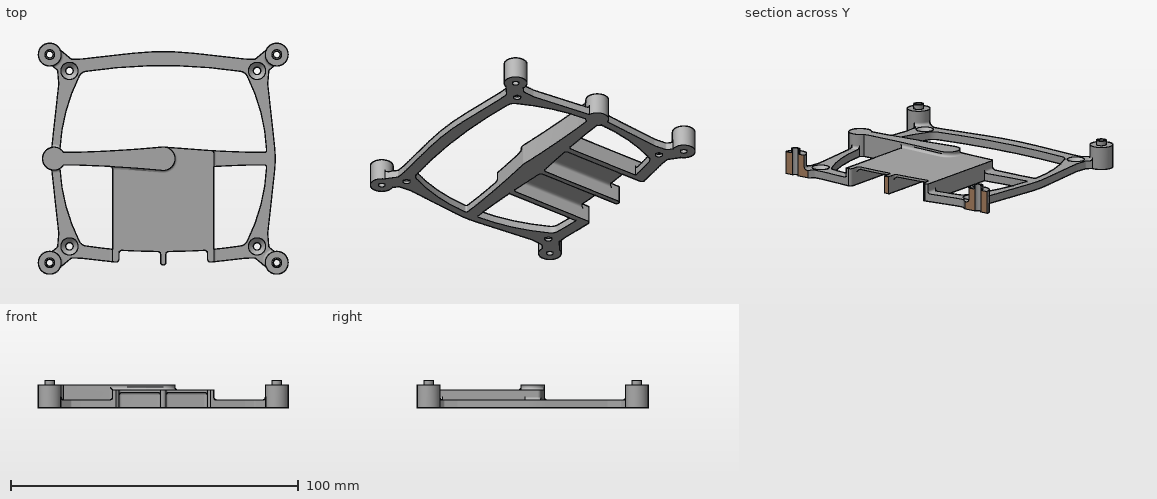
import cadquery as cq

FRAME_T = 2.8
COVER_TOP = 6.25
BOSS_TOP = 8.0
PIN_H = 1.6
RAMP_R = 1.0

BOSS_X = 39.45
BOSS_Y = 36.175
BOSS_R = 4.0
PIN_R = 1.7
PIN_BORE_R = 1.15
SIDE_BOSS_X = -38.0

SCREW_X = 32.6
SCREW_Y = 30.5
SCREW_R = 1.25
SINK_R = 3.0

RIM_PEAK_X = 39.2
RIM_PEAK_Y = 37.85
RIM_BEND_R_X = 40.0
RIM_BEND_R_Y = 95.0
SIDE_WAIST = (36.35, 26.0)
SIDE_CORNER = (36.75, 30.7)
SIDE_NECK = (38.5, 32.2)
TOP_NECK = (35.6, 37.6)
TOP_CORNER = (31.9, 34.55)
TOP_WAIST = (28.5, 34.65)
NECK_FILLET = 0.8

OPENING_X = 35.95
OPENING_Y = 32.3
OPENING_SIDE_R = 64.0
OPENING_END_R = 182.0
OPENING_CORNER_R = 3.0

BAR_HUB_R = 4.1
BAR_WAIST = (30.0, 2.25)
BAR_MIDDLE = (15.0, 2.92)
BAR_END_X = 37.0
BAR_ROOT_FILLET = 0.6

COVER_X = 17.6
POCKET_X = 15.35
RIB_HALF = 0.95
ROOF_T = 0.85
COVER_CORNER_R = 1.0
POCKET_FILLET = 1.0
WALL_END_Y = -36.0
RIB_END_Y = -37.0
ROOF_EDGE_Y = -32.3
ROOF_EDGE_RISE = 0.6
ROOF_EDGE_FILLET = 1.0

PICK_SIZE = 0.4
PICK_LEVEL = 0.01

QUADRANTS = [(sx, sy) for sx in (1, -1) for sy in (1, -1)]


def box(x0, x1, y0, y1, z0, z1):
    return cq.Workplane("XY").box(x1 - x0, y1 - y0, z1 - z0, centered=False).translate((x0, y0, z0))


def cylinder(x, y, radius, z0, z1):
    return cq.Workplane("XY", origin=(x, y, z0)).circle(radius).extrude(z1 - z0)


def round_uprights(solid, points, radius):
    """Fillets the upright edges that stand on the given XY points."""
    picked = None
    for x, y in points:
        low = (x - PICK_SIZE, y - PICK_SIZE, 0)
        high = (x + PICK_SIZE, y + PICK_SIZE, BOSS_TOP)
        zone = cq.selectors.BoxSelector(low, high)
        picked = zone if picked is None else picked + zone
    return solid.edges("|Z").edges(picked).fillet(radius)


def mirrored(point):
    """The point and its mirror images in all four quadrants."""
    return [(sx * point[0], sy * point[1]) for sx, sy in QUADRANTS]


def frame_blank(height):
    """Solid outline of the rim with its four necks."""
    quarter = [SIDE_WAIST, SIDE_CORNER, SIDE_NECK, TOP_NECK, TOP_CORNER, TOP_WAIST]
    back = [(-x, y) for x, y in reversed(quarter)]
    upper = [(RIM_PEAK_X, 0)] + quarter + [(0, RIM_PEAK_Y)] + back + [(-RIM_PEAK_X, 0)]
    lower = [(x, -y) for x, y in reversed(upper[1:-1])]
    blank = cq.Workplane("XY").polyline(upper + lower).close().extrude(height)
    blank = round_uprights(blank, [(0, RIM_PEAK_Y), (0, -RIM_PEAK_Y)], RIM_BEND_R_Y)
    blank = round_uprights(blank, [(RIM_PEAK_X, 0), (-RIM_PEAK_X, 0)], RIM_BEND_R_X)
    corners = mirrored(SIDE_CORNER) + mirrored(TOP_CORNER)
    return round_uprights(blank, corners, NECK_FILLET)


def opening(height):
    """Space enclosed by the rim, as the overlap of four large discs."""
    side = cylinder(OPENING_X - OPENING_SIDE_R, 0, OPENING_SIDE_R, 0, height)
    end = cylinder(0, OPENING_Y - OPENING_END_R, OPENING_END_R, 0, height)
    shape = side.intersect(side.mirror("YZ")).intersect(end).intersect(end.mirror("XZ"))
    return shape.edges("|Z").fillet(OPENING_CORNER_R)


def arm_outline():
    """Tapered left half of the crossbar, from its waist to its round end."""
    waist_x, waist_y = BAR_WAIST
    mid_x, mid_y = BAR_MIDDLE
    return (
        cq.Workplane("XY")
        .moveTo(-waist_x, -waist_y)
        .threePointArc((-mid_x, -mid_y), (0, -BAR_HUB_R))
        .threePointArc((BAR_HUB_R, 0), (0, BAR_HUB_R))
        .threePointArc((-mid_x, mid_y), (-waist_x, waist_y))
        .close()
    )


def arm(height):
    """Left half of the crossbar, from inside the rim to its round end."""
    waist_x, waist_y = BAR_WAIST
    root = box(-BAR_END_X, -waist_x, -waist_y, waist_y, 0, height)
    return arm_outline().extrude(height).union(root)


def crossbar(height):
    """Two mirrored arms, meeting at the middle."""
    half = arm(height)
    return half.union(half.mirror("YZ"))


def frame_plan(height):
    """Rim and crossbar, with the rim open where the cover stands."""
    plan = frame_blank(height).cut(opening(height)).union(crossbar(height))
    roots = [(OPENING_X, BAR_WAIST[1]), (OPENING_X, -BAR_WAIST[1])]
    plan = round_uprights(plan, roots, BAR_ROOT_FILLET)
    gap_x = (COVER_X + POCKET_X) / 2
    return plan.cut(box(-gap_x, gap_x, -RIM_PEAK_Y, -OPENING_Y / 2, 0, height))


def boss_bodies():
    """Bosses with their pins, before boring."""
    bodies = cylinder(SIDE_BOSS_X, 0, BOSS_R, 0, BOSS_TOP)
    for sx, sy in QUADRANTS:
        x, y = sx * BOSS_X, sy * BOSS_Y
        boss = cylinder(x, y, BOSS_R, 0, BOSS_TOP)
        bodies = bodies.union(boss).union(cylinder(x, y, PIN_R, BOSS_TOP, BOSS_TOP + PIN_H))
    return bodies


def above_with_ramp(body, floor_z):
    """The part of a body above a floor, with a concave fillet around its foot."""
    reach = 2 * BOSS_X
    margin = 1.0
    inner = reach - margin
    floor = box(-reach, reach, -reach, reach, floor_z - margin, floor_z)
    upper = box(-reach, reach, -reach, reach, floor_z, floor_z + BOSS_TOP)
    low = (-inner, -inner, floor_z - PICK_LEVEL)
    high = (inner, inner, floor_z + PICK_LEVEL)
    foot = cq.selectors.BoxSelector(low, high)
    return floor.union(body).edges(foot).fillet(RAMP_R).intersect(upper)


def wall_end(x, half, end_y):
    """Pocket wall with a round end, reaching back to the crossbar."""
    wall = box(x - half, x + half, end_y + half, 0, 0, COVER_TOP)
    return wall.union(cylinder(x, end_y + half, half, 0, COVER_TOP))


def cover_footprint(height):
    """Plan of the roof, from its curved front edge to the far side of the crossbar."""
    roof = (
        cq.Workplane("XY")
        .moveTo(-COVER_X, 0)
        .lineTo(-COVER_X, ROOF_EDGE_Y + ROOF_EDGE_RISE)
        .threePointArc((0, ROOF_EDGE_Y), (COVER_X, ROOF_EDGE_Y + ROOF_EDGE_RISE))
        .lineTo(COVER_X, 0)
        .close()
        .extrude(height)
    )
    slab = box(-COVER_X, COVER_X, -BAR_HUB_R, BAR_HUB_R, 0, height)
    plan = roof.union(crossbar(height).intersect(slab))
    return plan.edges("|Z and >(1, 1, 0)").fillet(COVER_CORNER_R)


def cover_and_arm(height):
    """Joint plan of cover and arm, with a fillet in the corner between them."""
    plan = cover_footprint(height).union(arm_outline().extrude(height))
    corner = [(-COVER_X, -BAR_MIDDLE[1])]
    return round_uprights(plan, corner, RAMP_R)


def cover_blank():
    """Roof, walls and the lower part of the arm as one block."""
    block = cover_and_arm(COVER_TOP)
    wall_half = (COVER_X - POCKET_X) / 2
    wall_x = COVER_X - wall_half
    block = block.union(wall_end(0, RIB_HALF, RIB_END_Y))
    for side in (1, -1):
        block = block.union(wall_end(side * wall_x, wall_half, WALL_END_Y))
    corners = [(sx * RIB_HALF, ROOF_EDGE_Y) for sx in (1, -1)]
    corners += [(sx * POCKET_X, ROOF_EDGE_Y + ROOF_EDGE_RISE) for sx in (1, -1)]
    return round_uprights(block, corners, ROOF_EDGE_FILLET)


def pocket():
    """Right-hand pocket, rounded at its rear corners and under the roof."""
    space = box(RIB_HALF, POCKET_X, 2 * RIB_END_Y, 0, 0, COVER_TOP - ROOF_T)
    space = space.cut(crossbar(COVER_TOP))
    rear = cq.selectors.BoxSelector((0, -2 * BAR_HUB_R, 0), (COVER_X, 0, COVER_TOP))
    space = space.edges("|Z").edges(rear).fillet(POCKET_FILLET)
    return space.faces(">Z").edges("not <Y").fillet(POCKET_FILLET)


def frame_ramps():
    """Fillets that rise from the frame to the bosses and the cover."""
    walls = box(-COVER_X, COVER_X, -RIM_PEAK_Y, 0, 0, COVER_TOP)
    cover_body = cover_footprint(COVER_TOP).union(walls)
    shape = above_with_ramp(boss_bodies(), FRAME_T).union(above_with_ramp(cover_body, FRAME_T))
    return shape.intersect(frame_plan(BOSS_TOP))


def arm_ramp():
    """Arm above the roof, with a fillet where it stands on the roof."""
    raised = above_with_ramp(arm_outline().extrude(BOSS_TOP), COVER_TOP)
    return raised.intersect(cover_and_arm(BOSS_TOP))


def holes():
    """Pin bores and countersunk screw holes, all running through."""
    sink_depth = SINK_R - SCREW_R
    tools = cq.Workplane("XY")
    for sx, sy in QUADRANTS:
        screw = cq.Vector(sx * SCREW_X, sy * SCREW_Y, FRAME_T - sink_depth)
        tools = tools.union(cylinder(sx * BOSS_X, sy * BOSS_Y, PIN_BORE_R, 0, BOSS_TOP + PIN_H))
        tools = tools.union(cylinder(screw.x, screw.y, SCREW_R, 0, FRAME_T))
        tools = tools.union(cq.Workplane(obj=cq.Solid.makeCone(SCREW_R, SINK_R, sink_depth, pnt=screw)))
    return tools


cover = cover_blank().union(arm_ramp()).cut(pocket()).cut(pocket().mirror("YZ"))
result = (
    frame_plan(FRAME_T)
    .union(frame_ramps())
    .union(cover)
    .union(arm(BOSS_TOP))
    .union(boss_bodies())
    .cut(holes())
)